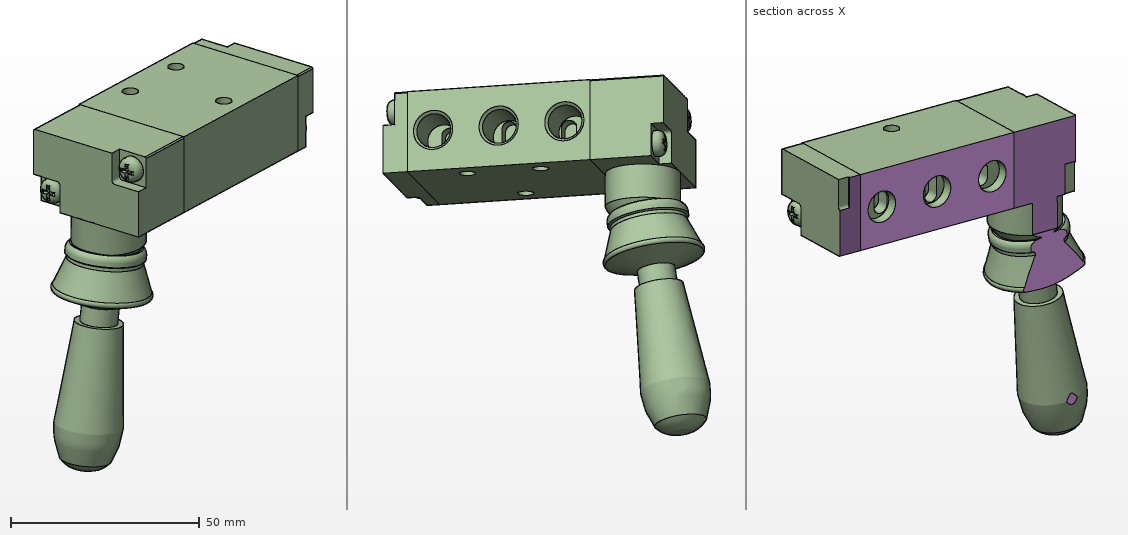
import cadquery as cq
import math

width = 35.0
height = 22.0
body_length = 50.0

front_cap_length = 20.0
rear_cap_length = 6.7
cap_edge_chamfer = 0.4

pocket_side = 8.8
front_pocket_depth = 3.4
rear_pocket_depth = 3.2
pocket_corner_radius = 0.9
head_radius = 3.5
head_rim_height = 0.9
head_flat_radius = 1.5
head_height = 2.8
recess_length = 4.1
recess_width = 1.0
recess_depth = 1.4

port_pitch = 18.0
port_radius = 4.6
port_bottom_radius = 4.3
port_chamfer = 0.75
port_depth = 11.3
slot_depth = 3.8
middle_slot_width = 3.9
middle_slot_height = 8.1
outer_slot_width = 4.1
outer_slot_height = 6.6
outer_slot_shift = 1.6

mount_diameter = 4.3
mount_x = 11.75
mount_pitch = 20.0

boss_radius = front_cap_length / 2
boss_height = 9.1
pivot_z = -3.9
lever_tilt = 9.0
ball_radius = math.hypot(boss_radius, boss_height + pivot_z)

collar_top = 6.4
collar_shoulder_radius = 9.9
collar_bulge = (10.7, -7.3)
collar_widest = 8.5
collar_radius = 10.9
collar_bottom = 9.3
groove_top = 9.7
groove_radius = 10.3
skirt_top = 10.6
skirt_rim = 19.2
skirt_rim_half = 0.75
skirt_radius = 13.6
skirt_edge_radius = 13.3
skirt_bottom = 22.8
stem_radius = 5.1
grip_top = 27.8
grip_top_radius = 6.6
grip_widest = 56.4
grip_radius = 9.3
grip_bulge = (8.7, -61.1)
nose_top = 66.0
nose_radius = 7.0
nose_bulge = (5.1, -67.7)
tip = 68.6
tip_radius = 2.35

front_y = -front_cap_length / 2
body_front_y = front_cap_length / 2
body_rear_y = body_front_y + body_length
rear_y = body_rear_y + rear_cap_length
body_middle_y = (body_front_y + body_rear_y) / 2


def block(y_start, length):
    """Full-section block standing on Z = 0."""
    base = cq.Workplane("XY", origin=(0, y_start, 0))
    return base.box(width, length, height, centered=(True, False, False))


def side_slot(y, slot_width, slot_height):
    """Upright rounded slot sunk below the bottom of a port."""
    return (
        cq.Workplane("YZ", origin=(-width / 2, y, height / 2))
        .slot2D(slot_height, slot_width, 90)
        .extrude(port_depth + slot_depth)
    )


def port(y):
    """Blind tapered port in the -X side with a chamfered mouth."""
    mouth_radius = port_radius + port_chamfer
    profile = [
        (0, 0),
        (mouth_radius, 0),
        (port_radius, port_chamfer),
        (port_bottom_radius, port_depth),
        (0, port_depth),
    ]
    cutter = cq.Workplane("XY").polyline(profile).close().revolve(360, (0, 0), (0, 1))
    return cutter.rotate((0, 0, 0), (0, 0, 1), -90).translate((-width / 2, y, height / 2))


def make_valve_body():
    """Valve block with three side ports and three vertical mounting holes."""
    body = block(body_front_y, body_length)
    for step in (-1, 0, 1):
        body = body.cut(port(body_middle_y + step * port_pitch))
    body = body.cut(side_slot(body_middle_y, middle_slot_width, middle_slot_height))
    for side in (-1, 1):
        slot_y = body_middle_y + side * (port_pitch - outer_slot_shift)
        body = body.cut(side_slot(slot_y, outer_slot_width, outer_slot_height))
    mount_points = [(-mount_x, -mount_pitch / 2), (-mount_x, mount_pitch / 2), (mount_x, 0)]
    holes = (
        cq.Workplane("XY", origin=(0, body_middle_y, 0))
        .pushPoints(mount_points)
        .circle(mount_diameter / 2)
        .extrude(height)
    )
    return body.cut(holes)


def screw_head():
    """Domed cross-recess head with its axis on +Z and its seat on Z = 0."""
    dome_middle = (
        head_flat_radius + (head_radius - head_flat_radius) * math.sin(math.pi / 4),
        head_rim_height + (head_height - head_rim_height) * math.cos(math.pi / 4),
    )
    head = (
        cq.Workplane("XZ")
        .lineTo(head_radius, 0)
        .lineTo(head_radius, head_rim_height)
        .threePointArc(dome_middle, (head_flat_radius, head_height))
        .lineTo(0, head_height)
        .close()
        .revolve(360, (0, 0), (0, 1))
    )
    for length, breadth in ((recess_length, recess_width), (recess_width, recess_length)):
        slot = cq.Workplane("XY", origin=(0, 0, head_height - recess_depth)).rect(length, breadth)
        head = head.cut(slot.extrude(recess_depth))
    return head


def add_screws(cap, end_y, outward, pocket_depth):
    """Sink two diagonally opposite corner pockets into an end face, each with a screw head on its floor."""
    floor_y = end_y - outward * pocket_depth
    for side in (-1, 1):
        corner_x = side * width / 2
        corner_z = height / 2 - side * outward * height / 2
        pocket = (
            cq.Workplane("XZ", origin=(corner_x, floor_y, corner_z))
            .rect(2 * pocket_side, 2 * pocket_side)
            .extrude(-outward * pocket_depth)
            .edges("|Y")
            .fillet(pocket_corner_radius)
        )
        screw_x = corner_x - side * pocket_side / 2
        screw_z = corner_z + side * outward * pocket_side / 2
        screw = screw_head().rotate((0, 0, 0), (1, 0, 0), -outward * 90)
        screw = screw.translate((screw_x, floor_y, screw_z))
        cap = cap.cut(pocket).union(screw)
    return cap


def make_cap(y_start, length):
    """Plain cap with its two long top edges chamfered."""
    return block(y_start, length).edges("|Y and >Z").chamfer(cap_edge_chamfer)


def boss():
    """Round boss under the front cap, on the lever axis."""
    return cq.Workplane("XY").circle(boss_radius).extrude(-boss_height)


def make_front_cap():
    """Long cap that carries the lever boss."""
    cap = make_cap(front_y, front_cap_length)
    return add_screws(cap, front_y, -1, front_pocket_depth).union(boss())


def make_rear_cap():
    """Short cap closing the other end."""
    cap = make_cap(body_rear_y, rear_cap_length)
    return add_screws(cap, rear_y, 1, rear_pocket_depth)


def make_ball():
    """Ball around the pivot, cut flat where it meets the end of the boss."""
    middle_radius = boss_radius / 2
    middle_z = pivot_z - math.sqrt(ball_radius**2 - middle_radius**2)
    return (
        cq.Workplane("XZ")
        .moveTo(0, -boss_height)
        .lineTo(boss_radius, -boss_height)
        .threePointArc((middle_radius, middle_z), (0, pivot_z - ball_radius))
        .close()
        .revolve(360, (0, 0), (0, 1))
    )


def make_handle():
    """Turned collar, skirt, stem and grip, drawn along Z below the pivot and tilted about it."""
    handle = (
        cq.Workplane("XZ")
        .moveTo(0, -collar_top)
        .lineTo(collar_shoulder_radius, -collar_top)
        .threePointArc(collar_bulge, (collar_radius, -collar_widest))
        .lineTo(collar_radius, -collar_bottom)
        .lineTo(groove_radius, -groove_top)
        .lineTo(groove_radius, -skirt_top)
        .lineTo(skirt_edge_radius, -skirt_rim + skirt_rim_half)
        .threePointArc((skirt_radius, -skirt_rim), (skirt_edge_radius, -skirt_rim - skirt_rim_half))
        .lineTo(stem_radius, -skirt_bottom)
        .lineTo(stem_radius, -grip_top)
        .lineTo(grip_top_radius, -grip_top)
        .lineTo(grip_radius, -grip_widest)
        .threePointArc(grip_bulge, (nose_radius, -nose_top))
        .threePointArc(nose_bulge, (tip_radius, -tip))
        .lineTo(0, -tip)
        .close()
        .revolve(360, (0, 0), (0, 1))
    )
    return handle.rotate((0, 0, 0), (1, 0, 0), -lever_tilt).translate((0, 0, pivot_z))


def make_lever():
    """Handle joined to its ball; the raised side of the collar is relieved around the boss."""
    return make_handle().cut(boss()).union(make_ball())


valve_body = make_valve_body()
front_cap = make_front_cap()
rear_cap = make_rear_cap()
lever = make_lever()

result = cq.Compound.makeCompound([valve_body.val(), front_cap.val(), rear_cap.val(), lever.val()])